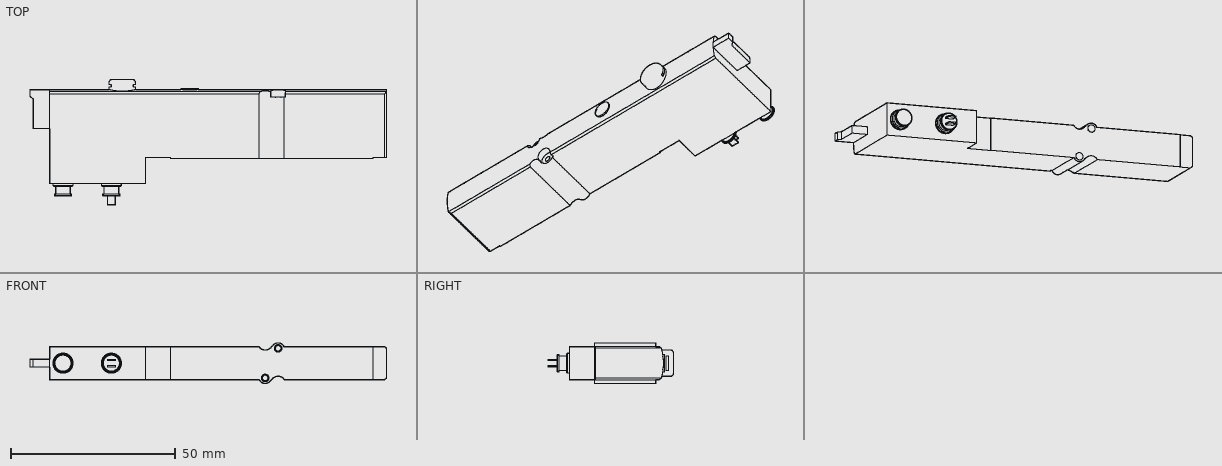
import cadquery as cq
import math

BODY_LENGTH = 102.5
BODY_HEIGHT = 10.1
HALF_HEIGHT = BODY_HEIGHT / 2
BLOCK_LENGTH = 29.2
BLOCK_DEPTH = 28.6
SHAFT_DEPTH = 20.7
PAD_START = 36.7
PAD_END = 98.4
PAD_HEIGHT = 0.3

CROWN_SAGITTA = 0.6
CHAMFER_ALONG_Y = 0.7
CHAMFER_ALONG_Z = 0.5
END_CHAMFER_ALONG_X = 0.65

OVERALL_HEIGHT = 12.4
LOBE_RADIUS = 3.9 / 2
LOBE_Z = OVERALL_HEIGHT / 2 - LOBE_RADIUS
LOBE_X = 69.5
GROOVE_X = 65.55
GROOVE_RADIUS = 4.5 / 2
STACK_PITCH = 10.5
GROOVE_Z = STACK_PITCH - LOBE_Z
SCREW_HOLE_Z = 4.5
SCREW_HOLE_DIAMETER = 1.7
SCREW_MOUTH_DIAMETER = 2.3
SCREW_MOUTH_DEPTH = 5.0
SCREW_HEAD_DIAMETER = 4.5
SCREW_HEAD_DEPTH = 2.3

TAB_REACH = 6.0
TAB_STEP = 1.0
TAB_THICKNESS = 2.4
TAB_WIDTH = 11.9
TAB_HOOK_WIDTH = 2.1
TAB_HOOK_END = 2.9

PLUG_XS = (4.1, 18.8)
CONTACT_PLUG_X = PLUG_XS[1]
COLLAR_DIAMETER = 6.1
COLLAR_LENGTH = 0.9
COLLAR_CHAMFER = 0.3
NECK_DIAMETER = 4.5
RIM_DIAMETER = 5.3
RIM_LENGTH = 0.6
RIM_CHAMFER = 0.2
PLUG_LENGTH = 3.8
CONTACT_WIDTH = 2.4
CONTACT_THICKNESS = 0.4
CONTACT_SPACING = 1.96
CONTACT_LENGTH = 2.7

OVERALL_DEPTH = 38.19
KNOB_X = 22.1
KNOB_DIAMETER = 8.1
KNOB_HEIGHT = OVERALL_DEPTH - BLOCK_DEPTH - PLUG_LENGTH - CONTACT_LENGTH
KNOB_CROWN_DIAMETER = 6.1
KNOB_NOTCH_HALF_SPAN = 3.4
KNOB_NOTCH_Y = (0.8, 1.5)
BUTTON_X = 42.6
BUTTON_DIAMETER = 5.3
BUTTON_HEIGHT = 0.3

EMBED = 1.0


def cylinder_y(x, z, diameter, y_start, y_end):
    """Cylinder along Y between two Y positions."""
    plane = cq.Plane(origin=(x, y_start, z), xDir=(1, 0, 0), normal=(0, 1, 0))
    return cq.Workplane(plane).circle(diameter / 2).extrude(y_end - y_start)


def box(x_range, y_range, z_range):
    """Axis-aligned box from its limits."""
    ranges = (x_range, y_range, z_range)
    sizes = [high - low for low, high in ranges]
    lows = [low for low, high in ranges]
    return cq.Workplane("XY").box(*sizes, centered=False).translate(tuple(lows))


def half_turn(shape):
    """Turn about the Y-parallel axis midway between lobe and groove."""
    mid_x = (LOBE_X + GROOVE_X) / 2
    return shape.rotate((mid_x, 0, 0), (mid_x, 1, 0), 180)


def make_body():
    plan = (
        cq.Workplane("XY", origin=(0, 0, -HALF_HEIGHT))
        .moveTo(0, 0)
        .lineTo(0, -BLOCK_DEPTH)
        .lineTo(BLOCK_LENGTH, -BLOCK_DEPTH)
        .lineTo(BLOCK_LENGTH, -SHAFT_DEPTH)
        .lineTo(PAD_START, -SHAFT_DEPTH)
        .lineTo(PAD_START, -SHAFT_DEPTH - PAD_HEIGHT)
        .lineTo(PAD_END, -SHAFT_DEPTH - PAD_HEIGHT)
        .lineTo(PAD_END, -SHAFT_DEPTH)
        .lineTo(BODY_LENGTH, -SHAFT_DEPTH)
        .lineTo(BODY_LENGTH, 0)
        .close()
        .extrude(BODY_HEIGHT)
    )
    crown_z = HALF_HEIGHT - CHAMFER_ALONG_Z
    chamfer_y = -CROWN_SAGITTA - CHAMFER_ALONG_Y
    crowned = (
        cq.Workplane("YZ")
        .moveTo(-BLOCK_DEPTH, -HALF_HEIGHT)
        .lineTo(chamfer_y, -HALF_HEIGHT)
        .lineTo(-CROWN_SAGITTA, -crown_z)
        .threePointArc((0, 0), (-CROWN_SAGITTA, crown_z))
        .lineTo(chamfer_y, HALF_HEIGHT)
        .lineTo(-BLOCK_DEPTH, HALF_HEIGHT)
        .close()
        .extrude(BODY_LENGTH)
    )
    chamfer_x = BODY_LENGTH - END_CHAMFER_ALONG_X
    end_chamfered = (
        cq.Workplane("XZ")
        .moveTo(0, -HALF_HEIGHT)
        .lineTo(chamfer_x, -HALF_HEIGHT)
        .lineTo(BODY_LENGTH, -crown_z)
        .lineTo(BODY_LENGTH, crown_z)
        .lineTo(chamfer_x, HALF_HEIGHT)
        .lineTo(0, HALF_HEIGHT)
        .close()
        .extrude(BLOCK_DEPTH)
    )
    return plan.intersect(crowned).intersect(end_chamfered)


def make_lobe():
    """Upper screw lobe with the flat web that runs tangent from it to the groove."""
    run = LOBE_X - GROOVE_X
    rise = GROOVE_Z - LOBE_Z
    spacing = math.hypot(run, rise)
    normal_angle = math.atan2(run, rise) - math.acos((LOBE_RADIUS + GROOVE_RADIUS) / spacing)
    across = math.sin(normal_angle)
    up = math.cos(normal_angle)
    lobe_tangent = (LOBE_X - LOBE_RADIUS * across, LOBE_Z + LOBE_RADIUS * up)
    groove_tangent = (GROOVE_X + GROOVE_RADIUS * across, GROOVE_Z - GROOVE_RADIUS * up)
    front_y = -SHAFT_DEPTH - PAD_HEIGHT
    root = (groove_tangent[0], LOBE_Z - LOBE_RADIUS)
    web = (
        cq.Workplane("XZ", origin=(0, -SCREW_HEAD_DEPTH, 0))
        .polyline([groove_tangent, lobe_tangent, (LOBE_X, LOBE_Z), root])
        .close()
        .extrude(-SCREW_HEAD_DEPTH - front_y)
    )
    lobe = cylinder_y(LOBE_X, LOBE_Z, 2 * LOBE_RADIUS, front_y, -SCREW_HEAD_DEPTH)
    return lobe.union(web), groove_tangent


def add_screw_lobes(body):
    lobe, groove_tangent = make_lobe()
    groove = cylinder_y(GROOVE_X, GROOVE_Z, 2 * GROOVE_RADIUS, -BLOCK_DEPTH, EMBED)
    hole = cylinder_y(LOBE_X, SCREW_HOLE_Z, SCREW_HOLE_DIAMETER, -BLOCK_DEPTH, EMBED)
    mouth_end = -SHAFT_DEPTH - PAD_HEIGHT + SCREW_MOUTH_DEPTH
    mouth = cylinder_y(LOBE_X, SCREW_HOLE_Z, SCREW_MOUTH_DIAMETER, -BLOCK_DEPTH, mouth_end)
    head_recess = cylinder_y(LOBE_X, LOBE_Z, SCREW_HEAD_DIAMETER, -SCREW_HEAD_DEPTH, EMBED)
    corner = box((GROOVE_X, LOBE_X), (-BLOCK_DEPTH, EMBED), (groove_tangent[1], OVERALL_HEIGHT))
    clearance = groove.union(corner)
    screw_bore = hole.union(mouth).union(head_recess)
    body = body.cut(clearance).cut(half_turn(clearance))
    body = body.union(lobe).union(half_turn(lobe))
    return body.cut(screw_bore).cut(half_turn(screw_bore))


def make_tab():
    return (
        cq.Workplane("XY", origin=(0, 0, -TAB_THICKNESS / 2))
        .moveTo(EMBED, -CROWN_SAGITTA)
        .lineTo(0, 0)
        .lineTo(-TAB_REACH, 0)
        .lineTo(-TAB_REACH, -TAB_HOOK_WIDTH)
        .lineTo(-TAB_REACH + TAB_STEP, -TAB_HOOK_END)
        .lineTo(-TAB_REACH + TAB_STEP, -TAB_WIDTH)
        .lineTo(EMBED, -TAB_WIDTH)
        .close()
        .extrude(TAB_THICKNESS)
    )


def make_plug(x):
    rim_end = -BLOCK_DEPTH - PLUG_LENGTH
    collar_end = -BLOCK_DEPTH - COLLAR_LENGTH
    collar = cylinder_y(x, 0, COLLAR_DIAMETER, collar_end, -BLOCK_DEPTH + EMBED)
    collar = collar.faces("<Y").chamfer(COLLAR_CHAMFER)
    neck = cylinder_y(x, 0, NECK_DIAMETER, rim_end, -BLOCK_DEPTH)
    rim = cylinder_y(x, 0, RIM_DIAMETER, rim_end, rim_end + RIM_LENGTH)
    rim = rim.faces("<Y").chamfer(RIM_CHAMFER)
    return collar.union(neck).union(rim)


def make_contact(z):
    base_y = -BLOCK_DEPTH - PLUG_LENGTH
    return box(
        (CONTACT_PLUG_X - CONTACT_WIDTH / 2, CONTACT_PLUG_X + CONTACT_WIDTH / 2),
        (base_y - CONTACT_LENGTH, base_y + EMBED),
        (z - CONTACT_THICKNESS / 2, z + CONTACT_THICKNESS / 2),
    )


def make_knob():
    knob = cylinder_y(KNOB_X, 0, KNOB_DIAMETER, -EMBED, KNOB_HEIGHT)
    knob = knob.faces(">Y").edges().fillet((KNOB_DIAMETER - KNOB_CROWN_DIAMETER) / 2)
    radius = KNOB_DIAMETER / 2
    for side in (-1, 1):
        ends = sorted((KNOB_X + side * KNOB_NOTCH_HALF_SPAN, KNOB_X + side * (radius + EMBED)))
        knob = knob.cut(box(ends, KNOB_NOTCH_Y, (-radius, radius)))
    return knob


result = add_screw_lobes(make_body())
result = result.union(make_tab())
for plug_x in PLUG_XS:
    result = result.union(make_plug(plug_x))
for side in (-1, 1):
    result = result.union(make_contact(side * CONTACT_SPACING / 2))
result = result.union(make_knob())
result = result.union(cylinder_y(BUTTON_X, 0, BUTTON_DIAMETER, -EMBED, BUTTON_HEIGHT))